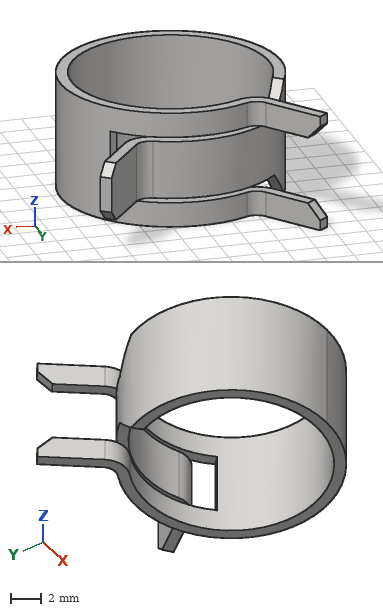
import cadquery as cq
import math


ring_outer_radius = 7.55
thickness = 0.8
height = 8.0
ring_inner_radius = ring_outer_radius - thickness

tab_angle = 128.0
tab_offset = 0.9
tab_reach = 12.75
bend_radius = 1.0

root_angle = 42.0
window_width = 4.6
tongue_width = 4.0
prong_tip_chamfer = 1.0
tongue_tip_chamfer = 0.8

half_height = height / 2
half_window = window_width / 2
half_tongue = tongue_width / 2
tongue_taper = half_height - half_tongue
clearance = 2 * tab_reach


def polar(radius, angle):
    """Point at a radius and an angle in degrees."""
    return cq.Vector(radius * math.cos(math.radians(angle)), radius * math.sin(math.radians(angle)), 0)


tab_direction = polar(1, tab_angle)
tab_normal = polar(1, tab_angle - 90)


def half_band():
    """Full-height strip from the -Y side of the ring, counterclockwise to the prong tab tip."""
    bend_center_radius = ring_outer_radius + bend_radius
    swing = math.degrees(math.acos((tab_offset + bend_radius) / bend_center_radius))
    bend_angle = tab_angle - 90 + swing
    bend_center = polar(bend_center_radius, bend_angle)
    middle_angle = (bend_angle - 90) / 2

    bend_start = bend_angle + 180
    bend_end = tab_angle + 90
    bend_middle = (bend_start + bend_end) / 2

    convex_radius = bend_radius + thickness
    concave_tip = tab_direction * tab_reach + tab_normal * tab_offset
    convex_tip = concave_tip - tab_normal * thickness
    convex_bend_end = bend_center + polar(convex_radius, bend_end)

    return (
        cq.Workplane("XY", origin=(0, 0, -half_height))
        .moveTo(0, -ring_outer_radius)
        .threePointArc(polar(ring_outer_radius, middle_angle), polar(ring_outer_radius, bend_angle))
        .threePointArc(bend_center + polar(bend_radius, bend_middle), bend_center + polar(bend_radius, bend_end))
        .lineTo(concave_tip.x, concave_tip.y)
        .lineTo(convex_tip.x, convex_tip.y)
        .lineTo(convex_bend_end.x, convex_bend_end.y)
        .threePointArc(
            bend_center + polar(convex_radius, bend_middle),
            polar(ring_inner_radius, bend_angle),
        )
        .threePointArc(polar(ring_inner_radius, middle_angle), (0, -ring_inner_radius))
        .close()
        .extrude(height)
    )


def root_cutter(points):
    """Outline of (distance past the root, z) points, extruded radially out through the strip."""
    radial_plane = cq.Plane(
        origin=(0, 0, 0),
        xDir=polar(1, root_angle + 90),
        normal=polar(1, root_angle),
    )
    return cq.Workplane(radial_plane).polyline(points).close().extrude(clearance)


def chamfer_tip(band, size):
    """Chamfer the tab tip corners beside the crossing; the outer prong corners stay sharp."""
    z_limit = (half_height + half_window) / 2
    near_crossing = cq.selectors.BoxSelector(
        (-clearance, -clearance, -z_limit),
        (clearance, clearance, z_limit),
    )
    return (
        band.faces(cq.selectors.DirectionMinMaxSelector(tab_direction, True))
        .edges(cq.selectors.ParallelDirSelector(tab_normal))
        .edges(near_crossing)
        .chamfer(size)
    )


def prong_half():
    """Half of the clamp whose end splits into an upper and a lower prong."""
    window = root_cutter([
        (0, -half_window),
        (clearance, -half_window),
        (clearance, half_window),
        (0, half_window),
    ])
    return chamfer_tip(half_band().cut(window), prong_tip_chamfer)


def tongue_half():
    """Half of the clamp that narrows to the tongue, its tab on the opposite side."""
    above = root_cutter([
        (-tongue_taper, half_height),
        (0, half_tongue),
        (clearance, half_tongue),
        (clearance, half_height),
    ])
    below = above.mirror("XY")
    tongue = chamfer_tip(half_band().cut(above).cut(below), tongue_tip_chamfer)
    return tongue.rotate((0, 0, 0), (0, 1, 0), 180)


result = prong_half().union(tongue_half())